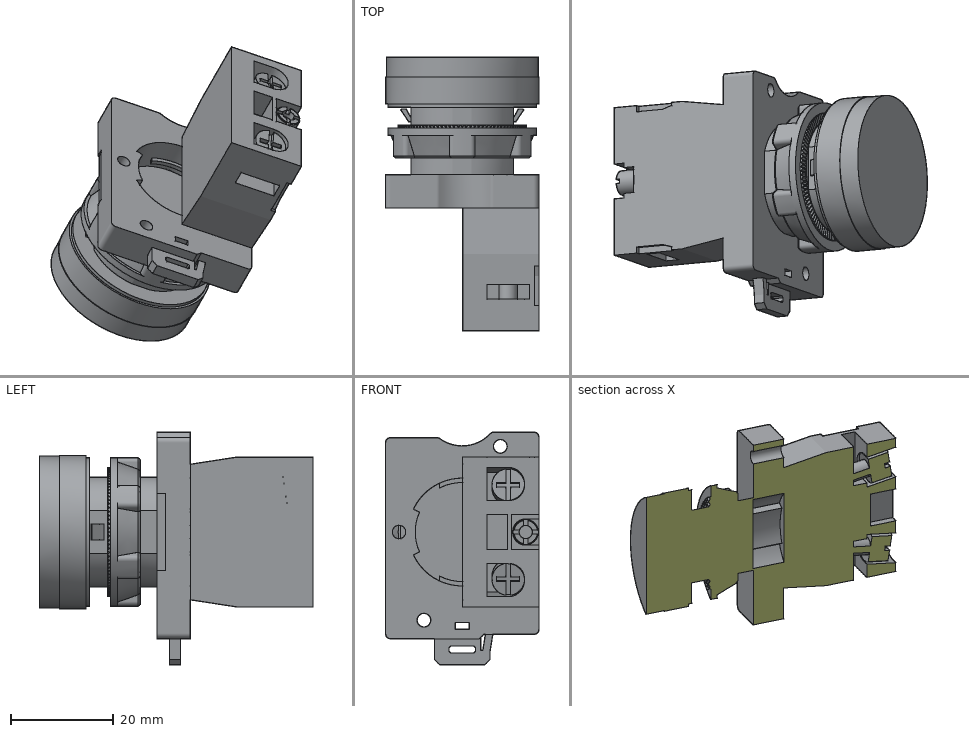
import cadquery as cq
import math


OVERALL_WIDTH = 30.0

HEAD_BACK = 22.95
BEZEL_BACK = 19.05
BEZEL_FRONT = 13.8
SKIRT_FRONT = 13.1
CAP_RADIUS = 14.85
BEZEL_RADIUS = OVERALL_WIDTH / 2
SKIRT_RADIUS = 14.55
NECK_RADIUS = 10.9
NECK_HALF_WIDTH = 10.05
NECK_HALF_HEIGHT = 10.75

TAB_WIDTH = 3.05
TAB_EMBED = 0.55
TAB_FOOT_FRONT = 10.25
TAB_FOOT_BACK = 11.2
TAB_FOOT_REACH = 10.5
TAB_BEND = (10.8, 10.8)
TAB_TIP_OUTER = (12.05, 12.6)
TAB_TIP_BACK = 12.85
TAB_TIP_LEFT = 10.95
TAB_TIP_RIGHT = 11.8

NUT_FRONT = 3.2
NUT_FLANGE_FRONT = 7.65
NUT_FLANGE_BACK = 9.1
NUT_FLANGE_RADIUS = 14.55
NUT_CONE_BACK_RADIUS = 13.9
NUT_CONE_FRONT_RADIUS = 12.5
NUT_CHAMFER = 0.45
LUG_COUNT = 6
LUG_WIDTH = 5.05
LUG_FILLET = 0.85
TOOTH_RING_RADIUS = 12.55
TOOTH_TIP = 9.65
TOOTH_ROOT = 9.25
TOOTH_COUNT = 96
TOOTH_GROOVE_SHARE = 0.8

PLATE_THICKNESS = 6.6
PLATE_HALF_WIDTH = OVERALL_WIDTH / 2
PLATE_TOP_LEFT = 18.45
PLATE_TOP_RIGHT = 19.55
PLATE_BOTTOM_LEFT = -20.85
PLATE_BOTTOM_RIGHT = -20.0
STEP_LEFT = 3.3
STEP_RIGHT = 4.2
CORNER_RADIUS = 1.0
SCOOP_RADIUS = 7.5
SCOOP_CENTRE_Z = 24.35
FIXING_HOLE_DIAMETER = 2.6
FIXING_HOLES = [(7.45, 16.75), (-7.5, -17.25), (-12.35, 0)]
WINDOW_WIDTH = 2.7
WINDOW_HEIGHT = 1.3
WINDOW_Z = -18.35
BORE_RADIUS = 10.55
KEY_RADIUS = 9.2
KEY_HALF_ANGLE = math.radians(25)
LIP_RADIUS = 9.7
LIP_HALF_WIDTH = 4.45
LIP_BACK = -1.5
LIP_THICKNESS = 0.8
SIDE_RECESS_DEPTH = 0.25
SIDE_RECESS_HEIGHT = 15.0
SIDE_RECESS_LENGTH = 1.65

LATCH_BACK = -2.45
LATCH_THICKNESS = 2.2
LATCH_HALF_WIDTH = 5.45
LATCH_BOTTOM = -25.95
LATCH_CHAMFER = 1.05
LATCH_SHOULDER_Z = -23.3
LATCH_SLOT_LENGTH = 5.15
LATCH_SLOT_HEIGHT = 1.3
LATCH_SLOT_Z = -22.95
LATCH_SLOT_CHAMFER = 0.3
SLIT_LEFT = 3.65
SLIT_BOTTOM = -23.05
SLIT_BOTTOM_RIGHT = 4.0
SLIT_TOP_RIGHT = 4.5
ARM_TOP_RIGHT = 6.0

BLOCK_LEFT = 0.05
BLOCK_RIGHT = PLATE_HALF_WIDTH
BLOCK_FRONT = -30.55
BLOCK_HALF_HEIGHT = 14.65
BLOCK_ROOT_HALF_HEIGHT = 13.25
TAPER_END = -15.6

TERMINAL_X = 9.0
TERMINAL_Z = 9.4
TERMINAL_TILT = math.atan2(BLOCK_HALF_HEIGHT - BLOCK_ROOT_HALF_HEIGHT, -PLATE_THICKNESS - TAPER_END)
TERMINAL_DIAMETER = 6.35
TERMINAL_RADIUS = TERMINAL_DIAMETER / 2
POCKET_LEFT = 4.85
POCKET_DEPTH = 6.65
SCREW_RECESS = 1.25
SCREW_HEAD_BACK = 5.6
CROSS_WIDTH = 0.9
CROSS_LENGTH = 4.5
CROSS_DEPTH = 1.05
SHANK_RADIUS = 1.75
SHANK_END_DEPTH = 9.9
WIRE_HOLE_BACK = -21.5
WIRE_HOLE_FRONT = -24.35
WIRE_HOLE_FLOOR_Z = 6.15

TEST_POCKET_WIDTH = 3.95
TEST_POCKET_DEPTH = 5.35
NOTCH_LEFT = 9.65
NOTCH_HEIGHT = 6.9
NOTCH_DEPTH = 2.15
CLAMP_X = 12.4
CLAMP_RADIUS = 2.45
CLAMP_SEAT_RADIUS = 2.55
CLAMP_SEAT_DEPTH = 4.3
CLAMP_RECESS = 0.25
CLAMP_CHAMFER = 0.15
CLAMP_SOCKET_RADIUS = 1.3
CLAMP_SOCKET_DEPTH = 1.6
CLAMP_SLOT_WIDTH = 0.8
CLAMP_SLOT_DEPTH = 0.8

RELIEF_WIDTH = 0.9
RELIEF_BACK = -17.9
RELIEF_SLOPE_END = -19.9
RELIEF_FRONT = -25.55
RELIEF_BACK_DEPTH = 0.65
RELIEF_DEPTH = 1.25


def frontal(y):
    """Workplane facing -Y at depth y: local x is X, local y is Z, extrusion runs toward -Y."""
    return cq.Workplane("XZ", origin=(0, y, 0))


def turned(profile):
    """Solid of revolution about the Y axis from (radius, y) points."""
    return cq.Workplane("XY").polyline(profile).close().revolve(360, (0, 0, 0), (0, 1, 0))


def block_of(x_range, y_range, z_range):
    """Box given by its limits along each axis."""
    size = [high - low for low, high in (x_range, y_range, z_range)]
    return cq.Workplane("XY", origin=(x_range[0], y_range[0], z_range[0])).box(*size, centered=False)


def with_mirror(body):
    """The body together with its reflection below the XY plane."""
    return body.union(body.mirror("XY"))


def button_head():
    head = turned([
        (0, SKIRT_FRONT),
        (SKIRT_RADIUS, SKIRT_FRONT),
        (SKIRT_RADIUS, BEZEL_FRONT),
        (BEZEL_RADIUS, BEZEL_FRONT),
        (BEZEL_RADIUS, BEZEL_BACK),
        (CAP_RADIUS, BEZEL_BACK),
        (CAP_RADIUS, HEAD_BACK),
        (0, HEAD_BACK),
    ])
    neck = frontal(SKIRT_FRONT).circle(NECK_RADIUS).extrude(SKIRT_FRONT)
    flats = frontal(SKIRT_FRONT).rect(2 * NECK_HALF_WIDTH, 2 * NECK_HALF_HEIGHT).extrude(SKIRT_FRONT)
    return head.union(neck.intersect(flats))


def spring_tabs():
    strip = (
        cq.Workplane("XY", origin=(0, 0, -TAB_WIDTH / 2))
        .polyline([
            (NECK_HALF_WIDTH - TAB_EMBED, TAB_FOOT_BACK),
            (NECK_HALF_WIDTH, TAB_FOOT_BACK),
            (TAB_TIP_LEFT, TAB_TIP_BACK),
            (TAB_TIP_RIGHT, TAB_TIP_BACK),
            TAB_TIP_OUTER,
            TAB_BEND,
            (TAB_FOOT_REACH, TAB_FOOT_FRONT),
            (NECK_HALF_WIDTH - TAB_EMBED, TAB_FOOT_FRONT),
        ])
        .close()
        .extrude(TAB_WIDTH)
    )
    return strip.union(strip.mirror("YZ"))


def ring_nut():
    body = turned([
        (0, NUT_FRONT),
        (NUT_CONE_FRONT_RADIUS - NUT_CHAMFER, NUT_FRONT),
        (NUT_CONE_FRONT_RADIUS, NUT_FRONT + NUT_CHAMFER),
        (NUT_CONE_BACK_RADIUS, NUT_FLANGE_FRONT),
        (NUT_FLANGE_RADIUS, NUT_FLANGE_FRONT),
        (NUT_FLANGE_RADIUS, NUT_FLANGE_BACK),
        (0, NUT_FLANGE_BACK),
    ])
    lug_length = NUT_FLANGE_FRONT - NUT_FRONT
    envelope = frontal(NUT_FLANGE_FRONT).circle(NUT_FLANGE_RADIUS).extrude(lug_length)
    lug_bar = (
        frontal(NUT_FLANGE_FRONT)
        .rect(LUG_WIDTH, 2 * NUT_FLANGE_RADIUS)
        .extrude(lug_length)
        .intersect(envelope)
        .edges("|Y").fillet(LUG_FILLET)
        .faces("<Y").chamfer(NUT_CHAMFER)
    )
    for index in range(LUG_COUNT // 2):
        body = body.union(lug_bar.rotate((0, 0, 0), (0, 1, 0), index * 360 / LUG_COUNT))
    return body.union(tooth_ring())


def tooth_ring():
    height = TOOTH_TIP - NUT_FLANGE_BACK
    ring = frontal(TOOTH_TIP).circle(TOOTH_RING_RADIUS).extrude(height)
    half_groove = TOOTH_GROOVE_SHARE * math.pi * TOOTH_RING_RADIUS / TOOTH_COUNT
    groove = (
        cq.Workplane("XY", origin=(0, 0, NECK_RADIUS))
        .polyline([(-half_groove, TOOTH_TIP), (half_groove, TOOTH_TIP), (0, TOOTH_ROOT)])
        .close()
        .extrude(TOOTH_RING_RADIUS)
        .val()
    )
    grooves = [
        groove.rotate(cq.Vector(0, 0, 0), cq.Vector(0, 1, 0), index * 360 / TOOTH_COUNT)
        for index in range(TOOTH_COUNT)
    ]
    return ring.cut(cq.Workplane(cq.Compound.makeCompound(grooves)))


def mounting_plate():
    left_scoop_x = -math.sqrt(SCOOP_RADIUS**2 - (SCOOP_CENTRE_Z - PLATE_TOP_LEFT) ** 2)
    right_scoop_x = math.sqrt(SCOOP_RADIUS**2 - (SCOOP_CENTRE_Z - PLATE_TOP_RIGHT) ** 2)
    plate = (
        frontal(0)
        .moveTo(-PLATE_HALF_WIDTH, PLATE_BOTTOM_LEFT)
        .lineTo(-PLATE_HALF_WIDTH, PLATE_TOP_LEFT)
        .lineTo(left_scoop_x, PLATE_TOP_LEFT)
        .threePointArc((0, SCOOP_CENTRE_Z - SCOOP_RADIUS), (right_scoop_x, PLATE_TOP_RIGHT))
        .lineTo(PLATE_HALF_WIDTH, PLATE_TOP_RIGHT)
        .lineTo(PLATE_HALF_WIDTH, PLATE_BOTTOM_RIGHT)
        .lineTo(STEP_RIGHT, PLATE_BOTTOM_RIGHT)
        .lineTo(STEP_LEFT, PLATE_BOTTOM_LEFT)
        .close()
        .extrude(PLATE_THICKNESS)
    )
    rounded_corners = [
        (-PLATE_HALF_WIDTH, PLATE_BOTTOM_LEFT),
        (-PLATE_HALF_WIDTH, PLATE_TOP_LEFT),
        (left_scoop_x, PLATE_TOP_LEFT),
        (right_scoop_x, PLATE_TOP_RIGHT),
        (PLATE_HALF_WIDTH, PLATE_TOP_RIGHT),
        (PLATE_HALF_WIDTH, PLATE_BOTTOM_RIGHT),
    ]
    for x, z in rounded_corners:
        corner = cq.selectors.NearestToPointSelector((x, -PLATE_THICKNESS / 2, z))
        plate = plate.edges("|Y").edges(corner).fillet(CORNER_RADIUS)

    holes = frontal(0).pushPoints(FIXING_HOLES).circle(FIXING_HOLE_DIAMETER / 2).extrude(PLATE_THICKNESS)
    window = frontal(0).center(0, WINDOW_Z).rect(WINDOW_WIDTH, WINDOW_HEIGHT).extrude(PLATE_THICKNESS)
    side_recess = block_of(
        (-PLATE_HALF_WIDTH, -PLATE_HALF_WIDTH + SIDE_RECESS_DEPTH),
        (-SIDE_RECESS_LENGTH, 0),
        (-SIDE_RECESS_HEIGHT / 2, SIDE_RECESS_HEIGHT / 2),
    )
    return plate.cut(plate_bore()).cut(holes).cut(window).cut(side_recess)


def plate_bore():
    """Bore narrowed by a key on each side and by a thin lip above and below."""
    bore = frontal(0).circle(BORE_RADIUS).extrude(PLATE_THICKNESS)
    key_reach = BORE_RADIUS / math.cos(KEY_HALF_ANGLE)
    key_rise = key_reach * math.sin(KEY_HALF_ANGLE)
    key_run = key_reach * math.cos(KEY_HALF_ANGLE)
    keys = (
        frontal(0)
        .polyline([(0, 0), (key_run, key_rise), (key_run, -key_rise)]).close()
        .polyline([(0, 0), (-key_run, key_rise), (-key_run, -key_rise)]).close()
        .extrude(PLATE_THICKNESS)
        .cut(frontal(0).circle(KEY_RADIUS).extrude(PLATE_THICKNESS))
    )
    lips = (
        frontal(LIP_BACK)
        .rect(2 * LIP_HALF_WIDTH, 2 * BORE_RADIUS)
        .extrude(LIP_THICKNESS)
        .cut(frontal(LIP_BACK).circle(LIP_RADIUS).extrude(LIP_THICKNESS))
    )
    return bore.cut(keys).cut(lips)


def latch():
    slider = (
        frontal(LATCH_BACK)
        .moveTo(-LATCH_HALF_WIDTH, PLATE_BOTTOM_RIGHT)
        .lineTo(-LATCH_HALF_WIDTH, LATCH_BOTTOM + LATCH_CHAMFER)
        .lineTo(-LATCH_HALF_WIDTH + LATCH_CHAMFER, LATCH_BOTTOM)
        .lineTo(LATCH_HALF_WIDTH - LATCH_CHAMFER, LATCH_BOTTOM)
        .lineTo(LATCH_HALF_WIDTH, LATCH_BOTTOM + LATCH_CHAMFER)
        .lineTo(LATCH_HALF_WIDTH, LATCH_SHOULDER_Z)
        .lineTo(ARM_TOP_RIGHT, PLATE_BOTTOM_RIGHT)
        .lineTo(SLIT_TOP_RIGHT, PLATE_BOTTOM_RIGHT)
        .lineTo(SLIT_BOTTOM_RIGHT, SLIT_BOTTOM)
        .lineTo(SLIT_LEFT, SLIT_BOTTOM)
        .lineTo(SLIT_LEFT, PLATE_BOTTOM_RIGHT)
        .close()
        .extrude(LATCH_THICKNESS)
    )
    slot = (
        frontal(LATCH_BACK)
        .center(0, LATCH_SLOT_Z)
        .rect(LATCH_SLOT_LENGTH, LATCH_SLOT_HEIGHT)
        .extrude(LATCH_THICKNESS)
        .edges("|Y").chamfer(LATCH_SLOT_CHAMFER)
    )
    return slider.cut(slot)


def contact_block():
    block = (
        cq.Workplane("YZ", origin=(BLOCK_LEFT, 0, 0))
        .polyline([
            (-PLATE_THICKNESS, -BLOCK_ROOT_HALF_HEIGHT),
            (-PLATE_THICKNESS, BLOCK_ROOT_HALF_HEIGHT),
            (TAPER_END, BLOCK_HALF_HEIGHT),
            (BLOCK_FRONT, BLOCK_HALF_HEIGHT),
            (BLOCK_FRONT, -BLOCK_HALF_HEIGHT),
            (TAPER_END, -BLOCK_HALF_HEIGHT),
        ])
        .close()
        .extrude(BLOCK_RIGHT - BLOCK_LEFT)
    )
    test_pocket = block_of(
        (POCKET_LEFT, POCKET_LEFT + TEST_POCKET_WIDTH),
        (BLOCK_FRONT, BLOCK_FRONT + TEST_POCKET_DEPTH),
        (-NOTCH_HEIGHT / 2, NOTCH_HEIGHT / 2),
    )
    block = block.cut(test_pocket).cut(with_mirror(edge_relief()))
    block = block.cut(with_mirror(terminal_cavity())).union(with_mirror(terminal_screw()))
    return block.cut(clamp_cavity()).union(clamp_screw())


def edge_relief():
    return (
        cq.Workplane("YZ", origin=(BLOCK_RIGHT - RELIEF_WIDTH, 0, 0))
        .polyline([
            (RELIEF_BACK, BLOCK_HALF_HEIGHT),
            (RELIEF_BACK, BLOCK_HALF_HEIGHT - RELIEF_BACK_DEPTH),
            (RELIEF_SLOPE_END, BLOCK_HALF_HEIGHT - RELIEF_DEPTH),
            (RELIEF_FRONT, BLOCK_HALF_HEIGHT - RELIEF_DEPTH),
            (RELIEF_FRONT, BLOCK_HALF_HEIGHT),
        ])
        .close()
        .extrude(RELIEF_WIDTH)
    )


def terminal_plane(depth):
    """Plane across the tilted axis of the upper terminal, at a depth behind the block's front."""
    origin = (TERMINAL_X, BLOCK_FRONT, TERMINAL_Z)
    outward = (0, -math.cos(TERMINAL_TILT), math.sin(TERMINAL_TILT))
    return cq.Workplane(cq.Plane(origin, (1, 0, 0), outward)).workplane(offset=-depth)


def terminal_cavity():
    """Tilted screw pocket opening forward and a wire hole opening upward."""
    side_width = TERMINAL_X - POCKET_LEFT
    length = POCKET_DEPTH + TERMINAL_RADIUS
    side_pocket = (
        terminal_plane(POCKET_DEPTH)
        .center(-side_width / 2, 0)
        .rect(side_width, 2 * TERMINAL_RADIUS)
        .extrude(length)
    )
    round_pocket = terminal_plane(POCKET_DEPTH).circle(TERMINAL_RADIUS).extrude(length)
    wire_hole = block_of(
        (POCKET_LEFT, 2 * TERMINAL_X - POCKET_LEFT),
        (WIRE_HOLE_FRONT, WIRE_HOLE_BACK),
        (WIRE_HOLE_FLOOR_Z, BLOCK_HALF_HEIGHT),
    )
    return side_pocket.union(round_pocket).union(wire_hole)


def terminal_screw():
    head = terminal_plane(SCREW_HEAD_BACK).circle(TERMINAL_RADIUS).extrude(SCREW_HEAD_BACK - SCREW_RECESS)
    cross_floor = terminal_plane(SCREW_RECESS + CROSS_DEPTH)
    cross = (
        cross_floor.rect(CROSS_LENGTH, CROSS_WIDTH).extrude(CROSS_DEPTH)
        .union(cross_floor.rect(CROSS_WIDTH, 2 * TERMINAL_RADIUS).extrude(CROSS_DEPTH))
    )
    shank = terminal_plane(SHANK_END_DEPTH).circle(SHANK_RADIUS).extrude(SHANK_END_DEPTH - SCREW_HEAD_BACK)
    return head.cut(cross).union(shank)


def clamp_cavity():
    """Notch open to the right, with a deeper round-ended seat around the clamp screw."""
    notch = block_of(
        (NOTCH_LEFT, BLOCK_RIGHT),
        (BLOCK_FRONT, BLOCK_FRONT + NOTCH_DEPTH),
        (-NOTCH_HEIGHT / 2, NOTCH_HEIGHT / 2),
    )
    seat_end = block_of(
        (CLAMP_X, BLOCK_RIGHT),
        (BLOCK_FRONT, BLOCK_FRONT + CLAMP_SEAT_DEPTH),
        (-CLAMP_SEAT_RADIUS, CLAMP_SEAT_RADIUS),
    )
    seat_round = (
        frontal(BLOCK_FRONT + CLAMP_SEAT_DEPTH)
        .center(CLAMP_X, 0)
        .circle(CLAMP_SEAT_RADIUS)
        .extrude(CLAMP_SEAT_DEPTH)
    )
    return notch.union(seat_end).union(seat_round)


def clamp_screw():
    face = BLOCK_FRONT + CLAMP_RECESS
    head_length = CLAMP_SEAT_DEPTH - CLAMP_RECESS
    head = (
        frontal(face + head_length).center(CLAMP_X, 0)
        .circle(CLAMP_RADIUS)
        .extrude(head_length)
        .faces("<Y").chamfer(CLAMP_CHAMFER)
    )
    socket = (
        frontal(face + CLAMP_SOCKET_DEPTH).center(CLAMP_X, 0)
        .circle(CLAMP_SOCKET_RADIUS)
        .extrude(CLAMP_SOCKET_DEPTH)
    )
    slot_floor = frontal(face + CLAMP_SLOT_DEPTH).center(CLAMP_X, 0)
    slots = (
        slot_floor.rect(2 * CLAMP_RADIUS, CLAMP_SLOT_WIDTH).extrude(CLAMP_SLOT_DEPTH)
        .union(slot_floor.rect(CLAMP_SLOT_WIDTH, 2 * CLAMP_RADIUS).extrude(CLAMP_SLOT_DEPTH))
    )
    return head.cut(socket).cut(slots)


result = (
    button_head()
    .union(spring_tabs())
    .union(ring_nut())
    .union(mounting_plate())
    .union(latch())
    .union(contact_block())
)